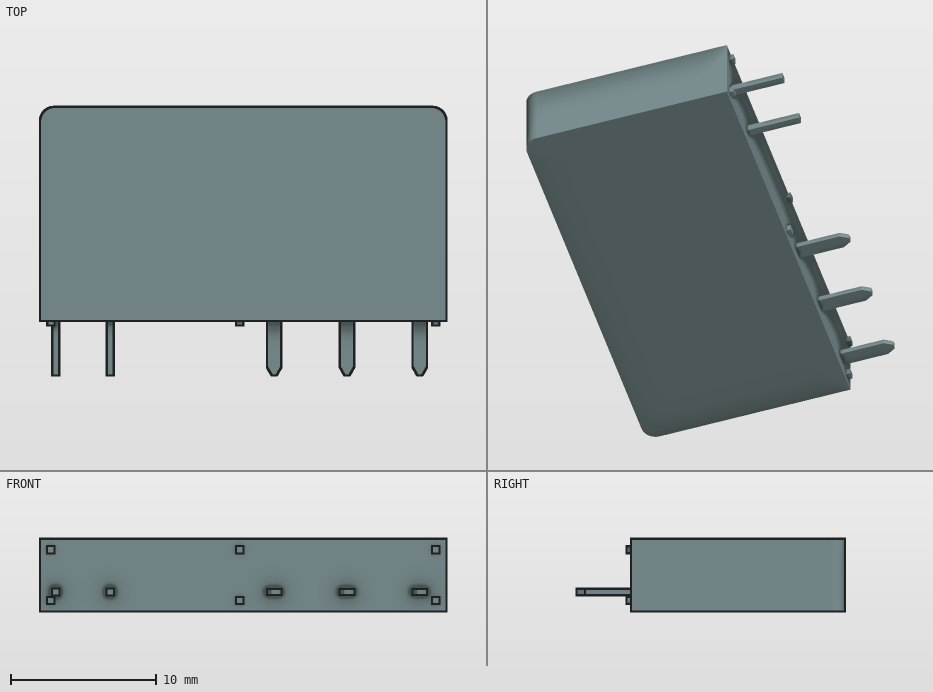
import cadquery as cq

body_length = 28.0
body_depth = 14.75
body_height = 5.0
corner_radius = 1.0

foot_size = 0.5
foot_height = 0.3
foot_inset = 0.75
middle_foot_x = -0.25

terminal_length = 3.75
terminal_z = 1.35
coil_pin_width = 0.5
coil_pin_thickness = 0.5
coil_pin_x = -12.9
coil_pin_pitch = 3.75
blade_width = 1.0
blade_thickness = 0.4
blade_x = 2.13
blade_pitch = 5.0
blade_count = 3
tip_width = 0.35
tip_length = 0.6
tip_radius = 0.1


def block_on_face(x, z, width, height, length):
    """Rectangular bar projecting from the terminal face toward -Y."""
    return cq.Workplane("XY").box(width, length, height, centered=(True, False, True)).translate((x, -length, z))


def contact_blade(x):
    """Flat blade with a straight taper to a blunt tip with rounded corners."""
    half_width = blade_width / 2
    half_tip = tip_width / 2
    shoulder_y = tip_length - terminal_length
    outline = [
        (-half_width, 0),
        (-half_width, shoulder_y),
        (-half_tip, -terminal_length),
        (half_tip, -terminal_length),
        (half_width, shoulder_y),
        (half_width, 0),
    ]
    blade = cq.Workplane("XY").polyline(outline).close().extrude(blade_thickness)
    blade = blade.faces("<Y").edges("|Z").fillet(tip_radius)
    return blade.translate((x, 0, terminal_z - blade_thickness / 2))


result = (
    cq.Workplane("XY")
    .box(body_length, body_depth, body_height, centered=(True, False, False))
    .edges("|Z and >Y")
    .fillet(corner_radius)
)

end_foot_x = body_length / 2 - foot_inset
for foot_x in (-end_foot_x, middle_foot_x, end_foot_x):
    for foot_z in (foot_inset, body_height - foot_inset):
        result = result.union(block_on_face(foot_x, foot_z, foot_size, foot_size, foot_height))

for pin_x in (coil_pin_x, coil_pin_x + coil_pin_pitch):
    result = result.union(
        block_on_face(pin_x, terminal_z, coil_pin_width, coil_pin_thickness, terminal_length)
    )

for index in range(blade_count):
    result = result.union(contact_blade(blade_x + index * blade_pitch))